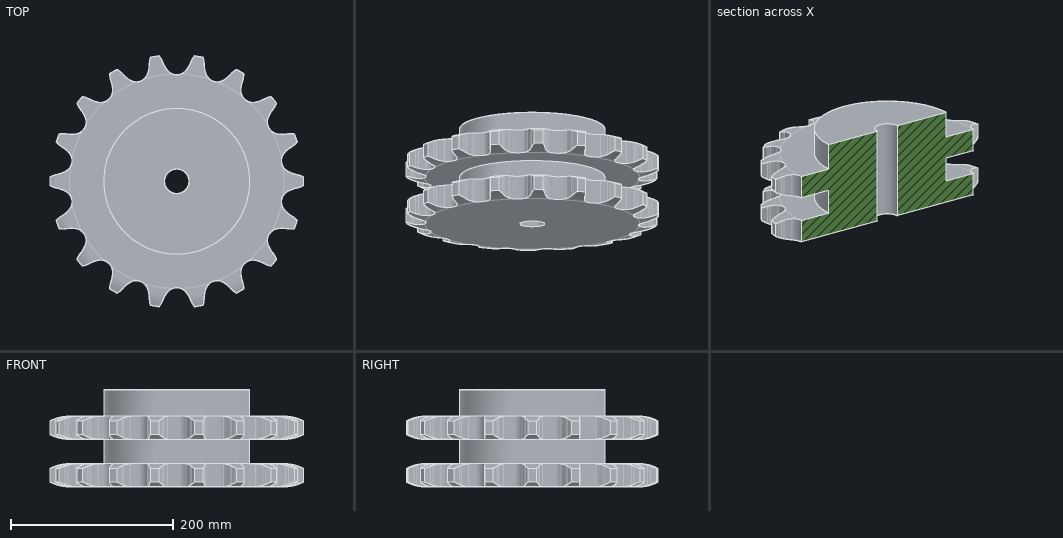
import cadquery as cq
import math


pitch = 50.8
roller_diameter = 29.21
strand_spacing = 58.6

tooth_count = 18
outer_radius = 313.0 / 2
disc_thickness = 28.8
relief_radius = pitch
relief_start_radius = 132.5
hub_diameter = 180.0
hub_height = 120.0
bore_diameter = 30.0

pitch_angle = 360.0 / tooth_count
pitch_radius = pitch / (2 * math.sin(math.radians(pitch_angle / 2)))

seat_oversize_ratio = 1.005
seat_clearance = 0.0381
working_centre_ratio = 0.8
topping_centre_ratio = 1.4
seat_radius = seat_oversize_ratio * roller_diameter / 2 + seat_clearance
working_centre_distance = working_centre_ratio * roller_diameter
topping_centre_distance = topping_centre_ratio * roller_diameter
seat_angle = 35 + 60 / tooth_count
working_angle = 18 - 56 / tooth_count
flank_angle = seat_angle - working_angle
topping_line_angle = 17 - 64 / tooth_count
working_radius = seat_radius + working_centre_distance
topping_radius = (
    working_centre_distance * math.cos(math.radians(working_angle))
    + topping_centre_distance * math.cos(math.radians(topping_line_angle))
    - working_radius
)
gap_overrun = 2.0
gap_outer_radius = outer_radius + gap_overrun


def offset(centre, distance, angle):
    """Point at a distance and angle (degrees) from a centre."""
    turn = math.radians(angle)
    return (centre[0] + distance * math.cos(turn), centre[1] + distance * math.sin(turn))


def mirrored(point):
    """Point reflected across the centre line of the gap."""
    return (-point[0], point[1])


def gap_cutter():
    """Prism of one tooth gap, opening towards +Y."""
    roller_centre = (0.0, pitch_radius)
    working_centre = offset(roller_centre, working_centre_distance, seat_angle)
    topping_centre = offset(roller_centre, topping_centre_distance, 180 + pitch_angle / 2)

    seat_bottom = offset(roller_centre, seat_radius, -90)
    seat_end = offset(roller_centre, seat_radius, 180 + seat_angle)
    working_mid = offset(working_centre, working_radius, 180 + seat_angle - working_angle / 2)
    working_end = offset(working_centre, working_radius, 180 + flank_angle)
    topping_start = offset(topping_centre, topping_radius, flank_angle)

    centre_distance = math.hypot(*topping_centre)
    centre_direction = math.degrees(math.atan2(topping_centre[1], topping_centre[0]))
    cosine = (gap_outer_radius**2 - centre_distance**2 - topping_radius**2) / (
        2 * centre_distance * topping_radius
    )
    end_angle = centre_direction - math.degrees(math.acos(cosine))
    topping_mid = offset(topping_centre, topping_radius, (flank_angle + end_angle) / 2)
    topping_end = offset(topping_centre, topping_radius, end_angle)

    return (
        cq.Workplane("XY")
        .moveTo(*topping_end)
        .threePointArc(topping_mid, topping_start)
        .lineTo(*working_end)
        .threePointArc(working_mid, seat_end)
        .threePointArc(seat_bottom, mirrored(seat_end))
        .threePointArc(mirrored(working_mid), mirrored(working_end))
        .lineTo(*mirrored(topping_start))
        .threePointArc(mirrored(topping_mid), mirrored(topping_end))
        .close()
        .extrude(disc_thickness)
    )


def relief_depth(radius):
    """Drop of the relief arc below the flat disc face at a given radius."""
    return relief_radius - math.sqrt(relief_radius**2 - (radius - relief_start_radius) ** 2)


def disc_blank():
    """Disc with both faces curving inward towards the rim."""
    mid_radius = (relief_start_radius + outer_radius) / 2
    mid_depth = relief_depth(mid_radius)
    rim_depth = relief_depth(outer_radius)
    return (
        cq.Workplane("XZ")
        .lineTo(relief_start_radius, 0)
        .threePointArc((mid_radius, mid_depth), (outer_radius, rim_depth))
        .lineTo(outer_radius, disc_thickness - rim_depth)
        .threePointArc((mid_radius, disc_thickness - mid_depth), (relief_start_radius, disc_thickness))
        .lineTo(0, disc_thickness)
        .close()
        .revolve(360, (0, 0, 0), (0, 1, 0))
    )


def toothed_disc():
    """Disc with a tooth centred on +X and equal gaps all round."""
    disc = disc_blank()
    gap = gap_cutter()
    for index in range(tooth_count):
        gap_direction = (index + 0.5) * pitch_angle
        disc = disc.cut(gap.rotate((0, 0, 0), (0, 0, 1), gap_direction - 90))
    return disc


def hub():
    """Plain cylinder carrying both discs."""
    return cq.Workplane("XY").circle(hub_diameter / 2).extrude(hub_height)


def bore():
    """Round hole through the full height of the hub."""
    return cq.Workplane("XY").circle(bore_diameter / 2).extrude(hub_height)


lower_disc = toothed_disc()
upper_disc = lower_disc.translate((0, 0, strand_spacing))
result = hub().union(lower_disc).union(upper_disc).cut(bore())